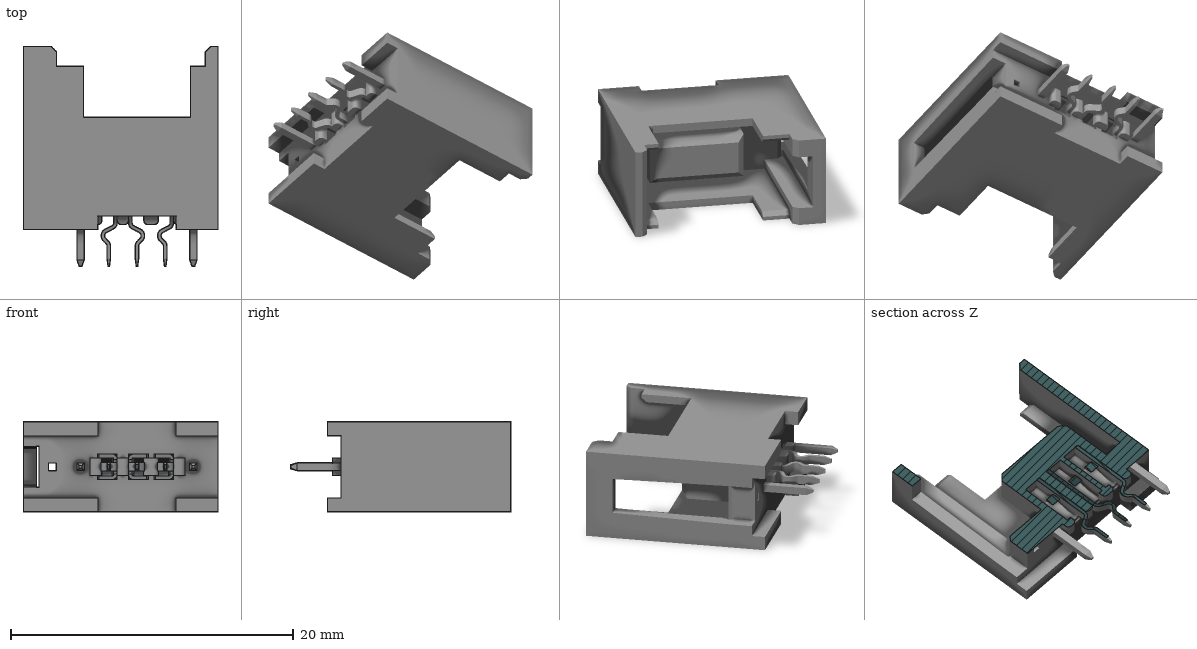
import cadquery as cq


width = 13.8
length = 13.0
height = 6.4

pitch = 2.0
middle_x = 8.05
contact_xs = [middle_x - pitch, middle_x, middle_x + pitch]
contact_sides = [1, -1, 1]
peg_xs = [middle_x - 2 * pitch, middle_x + 2 * pitch]
keying_hole_x = middle_x - 3 * pitch

recess_y = 0.95
lug_thickness = 1.0
lug_gap = 5.56

front_wall = 2.0
cavity_floor_y = recess_y + front_wall

side_wall = 0.93
key_wall_x = 2.36
cavity_right_x = 12.88
key_height = 3.86
cavity_height = 5.26
mouth_lead_depth = 0.37
mouth_lead_rise = 0.3

shallow_notch_depth = 1.4
deep_notch_depth = 5.02
deep_notch_width = 7.56
rear_corner_chamfer = 0.4

window_rear_y = 11.07
window_rear_height = 2.56
window_front_height = 2.9
window_exit_y = 2.63
window_exit_depth = 1.09

tongue_tip_y = 7.17
tongue_width = 6.8
tongue_height = 3.2
tongue_chamfer = 0.46

sheet = 0.26
tail_height = 0.62
tail_flush = 0.6
tail_root = 0.24
tail_end_y = -2.6
tail_taper = 0.55
tail_tip_width = 0.12
tail_tip_height = 0.3
tail_bulge = 0.41
bend_radius = 0.34
bend_depths = [0.69, 1.14, 1.54, 1.97]
channel_height = 1.8
channel_open_edge = 0.68
channel_bend_radius = 0.34
channel_setback = 0.12
relief_radius = 0.1
relief_z = tail_height / 2 + relief_radius
beam_length = 2.2
beam_width = 0.75
beam_wall_gap = 0.12
beam_thickness = 0.2
beam_end_gap = 0.2

slot_open_edge = 0.8
slot_depth = 4.0

bump_depth = 0.6
bump_height = 1.25
bump_radius = 0.3
bump_overhang = 0.32
outer_bump_width = 0.8
first_bump_width = 0.84

peg_size = 0.53
peg_taper = 0.45
peg_tip_size = 0.2
peg_embed = 1.5
peg_rear_y = recess_y + peg_embed


def box(x_start, x_end, y_start, y_end, z_size):
    """Block between the given X and Y limits, centred on Z = 0."""
    block = cq.Workplane("XY").box(x_end - x_start, y_end - y_start, z_size, centered=(False, False, True))
    return block.translate((x_start, y_start, 0))


def plate(points, z_size):
    """Plan outline extruded symmetrically about Z = 0."""
    return cq.Workplane("XY").polyline(points).close().extrude(z_size / 2, both=True)


def tapered_tip(x, end_y, taper, base_size, tip_size):
    """Four-sided point from (X size, Z size) at the base down to the tip at end_y."""
    return (
        cq.Workplane("XZ", origin=(x, end_y + taper, 0))
        .rect(*base_size)
        .workplane(offset=taper)
        .rect(*tip_size)
        .loft(combine=True)
    )


def body_blank():
    """Block with the front recess and the middle gap between the lugs."""
    blank = box(0, width, 0, length, height)
    blank = blank.cut(box(0, width, 0, recess_y, height - 2 * lug_thickness))
    return blank.cut(box(middle_x - lug_gap / 2, middle_x + lug_gap / 2, 0, recess_y, height))


def rear_notch():
    """Stepped opening through both walls, with chamfered rear corners."""
    shallow_y = length - shallow_notch_depth
    shoulder_y = length - rear_corner_chamfer
    deep = box(
        middle_x - deep_notch_width / 2, middle_x + deep_notch_width / 2,
        length - deep_notch_depth, length, height,
    )
    shallow = plate(
        [
            (key_wall_x, shallow_y),
            (cavity_right_x, shallow_y),
            (cavity_right_x, shoulder_y),
            (cavity_right_x + rear_corner_chamfer, length),
            (key_wall_x - rear_corner_chamfer, length),
            (key_wall_x, shoulder_y),
        ],
        height,
    )
    return deep.union(shallow)


def plug_cavity():
    """Cavity open to the rear, with a sloped mouth and a chamfered front-left corner."""
    corner = cavity_floor_y - window_exit_y
    key = plate(
        [
            (side_wall, length),
            (side_wall, window_exit_y),
            (window_exit_depth, window_exit_y),
            (window_exit_depth + corner, cavity_floor_y),
            (key_wall_x, cavity_floor_y),
            (key_wall_x, length),
        ],
        key_height,
    )
    mouth_y = length - shallow_notch_depth
    lead_y = mouth_y - mouth_lead_depth
    half = cavity_height / 2
    main = (
        cq.Workplane("YZ", origin=(key_wall_x, 0, 0))
        .polyline([
            (cavity_floor_y, -half),
            (lead_y, -half),
            (mouth_y, -half - mouth_lead_rise),
            (mouth_y, half + mouth_lead_rise),
            (lead_y, half),
            (cavity_floor_y, half),
        ])
        .close()
        .extrude(cavity_right_x - key_wall_x)
    )
    return key.union(main)


def side_window():
    """Window through the left wall, widening forward, then running out through the front wall."""
    rear_half = window_rear_height / 2
    front_half = window_front_height / 2
    taper = (
        cq.Workplane("YZ")
        .polyline([
            (window_rear_y, -rear_half),
            (window_rear_y, rear_half),
            (window_exit_y, front_half),
            (window_exit_y, -front_half),
        ])
        .close()
        .extrude(side_wall)
    )
    return taper.union(box(0, window_exit_depth, 0, window_exit_y, window_front_height))


def tongue():
    """Contact carrier standing on the cavity floor, chamfered around its tip."""
    half_width = tongue_width / 2
    block = box(middle_x - half_width, middle_x + half_width, cavity_floor_y, tongue_tip_y, tongue_height)
    return block.faces(">Y").chamfer(tongue_chamfer)


def contact_slot(x, side):
    """Blind rectangular slot, offset away from the side where the contact tail enters."""
    edges = sorted([x - side * slot_open_edge, x + side * tail_flush])
    return box(edges[0], edges[1], recess_y, recess_y + slot_depth, channel_height)


def retainer_bump(x_start, x_end):
    """Upright bump on the recessed front wall with rounded front corners."""
    bump = box(x_start, x_end, recess_y - bump_depth, recess_y, bump_height)
    return bump.edges("|Z and <Y").fillet(bump_radius)


def retainer_bumps():
    """Four bumps placed against and between the contact slots."""
    first_x, second_x, third_x = contact_xs
    first_end = first_x - slot_open_edge + bump_overhang
    spans = [
        (first_end - first_bump_width, first_end),
        (first_x + tail_flush, second_x - tail_flush),
        (second_x + slot_open_edge - bump_overhang, third_x - slot_open_edge + bump_overhang),
        (third_x + tail_flush, third_x + tail_flush + outer_bump_width),
    ]
    return [retainer_bump(x_start, x_end) for x_start, x_end in spans]


def make_housing():
    """Moulded shell with its tongue, contact slots, peg holes, keying hole and bumps."""
    half_peg = peg_size / 2
    housing = body_blank().cut(rear_notch()).cut(plug_cavity()).cut(side_window())
    housing = housing.union(tongue())
    housing = housing.cut(
        box(keying_hole_x - half_peg, keying_hole_x + half_peg, recess_y, cavity_floor_y, peg_size)
    )
    for x in peg_xs:
        housing = housing.cut(box(x - half_peg, x + half_peg, recess_y, peg_rear_y, peg_size))
    for x, side in zip(contact_xs, contact_sides):
        housing = housing.cut(contact_slot(x, side))
    for bump in retainer_bumps():
        housing = housing.union(bump)
    return housing


def contact_tail():
    """Bent strip from the channel back to the straight, pointed solder end."""
    entry_x = tail_flush - sheet / 2
    taper_y = tail_end_y + tail_taper
    start = (entry_x, recess_y + tail_root)
    bend_xs = [entry_x, -tail_bulge, -tail_bulge, 0]
    bends = [(x, recess_y - depth) for x, depth in zip(bend_xs, bend_depths)]
    corners = [cq.Vector(x, y, 0) for x, y in [start, *bends, (0, taper_y)]]
    sharp_path = cq.Wire.makePolygon(corners)
    inner_corners = [v for v in sharp_path.Vertices() if taper_y < v.Y < start[1]]
    path = sharp_path.fillet2D(bend_radius, inner_corners)
    strip = cq.Workplane("XZ", origin=(*start, 0)).rect(sheet, tail_height).sweep(cq.Workplane(path))
    tip = tapered_tip(0, tail_end_y, tail_taper, (sheet, tail_height), (tail_tip_width, tail_tip_height))
    return strip.union(tip)


def contact_channel():
    """C-shaped sheet channel in the slot, with relief notches beside the tail."""
    front_y = recess_y + channel_setback
    rear_y = recess_y + slot_depth
    outer = box(-channel_open_edge, tail_flush, front_y, rear_y, channel_height)
    outer = outer.edges("|Y and >X").fillet(channel_bend_radius)
    inner = box(-channel_open_edge, tail_flush - sheet, front_y, rear_y, channel_height - 2 * sheet)
    inner = inner.edges("|Y and >X").fillet(channel_bend_radius - sheet)
    channel = outer.cut(inner)
    for z in (-relief_z, relief_z):
        notch_plane = cq.Workplane("YZ", origin=(tail_flush - sheet, front_y, z))
        relief = notch_plane.circle(relief_radius).extrude(sheet)
        channel = channel.cut(relief)
    return channel


def contact_beams():
    """Two spring beams that slope inward from the channel arms."""
    front_y = recess_y + channel_setback
    root_z = channel_height / 2 - sheet
    end_z = beam_end_gap / 2
    upper = (
        cq.Workplane("YZ", origin=(tail_flush - sheet - beam_wall_gap - beam_width, 0, 0))
        .polyline([
            (front_y, root_z),
            (front_y + beam_length, end_z),
            (front_y + beam_length, end_z + beam_thickness),
            (front_y, root_z + beam_thickness),
        ])
        .close()
        .extrude(beam_width)
    )
    return upper.union(upper.mirror("XY"))


def make_contact(x, side):
    """Contact at x, mirrored where its tail enters on the -X side."""
    contact = contact_channel().union(contact_beams()).union(contact_tail())
    if side < 0:
        contact = contact.mirror("YZ")
    return contact.translate((x, 0, 0))


def make_peg(x):
    """Square board peg with a pointed end."""
    half_peg = peg_size / 2
    shank = box(x - half_peg, x + half_peg, tail_end_y + peg_taper, peg_rear_y, peg_size)
    tip = tapered_tip(x, tail_end_y, peg_taper, (peg_size, peg_size), (peg_tip_size, peg_tip_size))
    return shank.union(tip)


housing = make_housing()
contacts = [make_contact(x, side) for x, side in zip(contact_xs, contact_sides)]
pegs = [make_peg(x) for x in peg_xs]

result = cq.Compound.makeCompound(
    [housing.val(), *[contact.val() for contact in contacts], *[peg.val() for peg in pegs]]
)